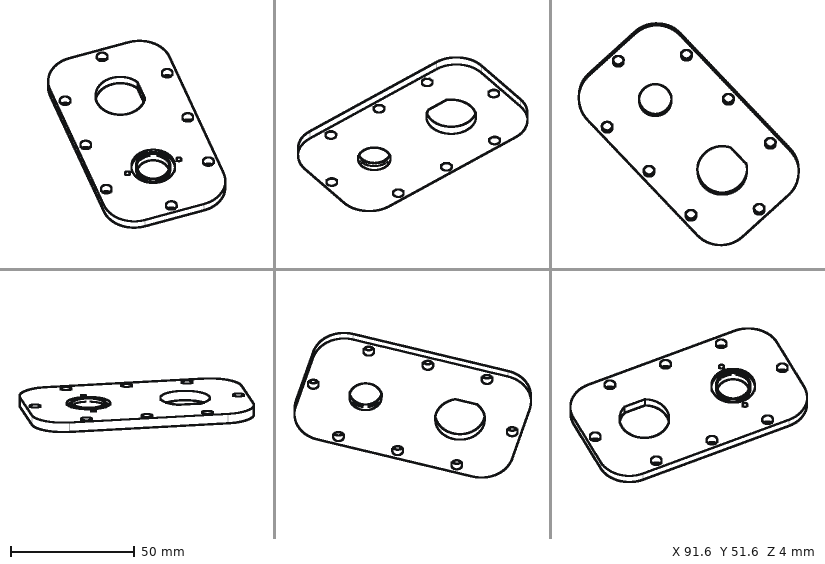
import cadquery as cq
import math

length = 91.6
width = 51.6
thickness = 4.0
corner_radius = 13.0

mount_diameter = 4.4
mount_pitch_x = 25.0
mount_row_y = 22.0
mount_end_x = 42.0

opening_x = -20.0
opening_diameter = 20.15
opening_flat_y = 9.0

groove_x = 20.0
groove_outer_diameter = 17.8
groove_inner_diameter = 14.1
groove_depth = 1.5
bore_diameter = 13.2

screw_diameter = 2.0
screw_offset_y = 11.1
screw_depth = 3.0
drill_tip_angle = 118.0


def cylinder_from_top(x, diameter, depth):
    """Cutter on the long centreline, reaching down from the top face."""
    return cq.Workplane("XY", origin=(x, 0, thickness - depth)).circle(diameter / 2).extrude(depth)


plate = (
    cq.Workplane("XY")
    .rect(length, width)
    .extrude(thickness)
    .edges("|Z")
    .fillet(corner_radius)
)

mount_points = [(mount_end_x * side, 0) for side in (-1, 1)]
for side in (-1, 1):
    for column in (-1, 0, 1):
        mount_points.append((column * mount_pitch_x, side * mount_row_y))
mount_holes = cq.Workplane("XY").pushPoints(mount_points).circle(mount_diameter / 2).extrude(thickness)

opening_trim = (
    cq.Workplane("XY", origin=(opening_x, opening_flat_y, 0))
    .box(opening_diameter, opening_diameter, thickness, centered=(True, False, False))
)
opening = cylinder_from_top(opening_x, opening_diameter, thickness).cut(opening_trim)

groove = cylinder_from_top(groove_x, groove_outer_diameter, groove_depth).cut(
    cylinder_from_top(groove_x, groove_inner_diameter, groove_depth)
)
bore = cylinder_from_top(groove_x, bore_diameter, thickness)

screw_radius = screw_diameter / 2
tip_height = screw_radius / math.tan(math.radians(drill_tip_angle / 2))
screw_hole = (
    cq.Workplane("XZ")
    .moveTo(0, thickness)
    .lineTo(screw_radius, thickness)
    .lineTo(screw_radius, thickness - screw_depth)
    .lineTo(0, thickness - screw_depth - tip_height)
    .close()
    .revolve(360, (0, 0, 0), (0, 1, 0))
)

result = plate.cut(mount_holes).cut(opening).cut(groove).cut(bore)
for side in (-1, 1):
    result = result.cut(screw_hole.translate((groove_x, side * screw_offset_y, 0)))